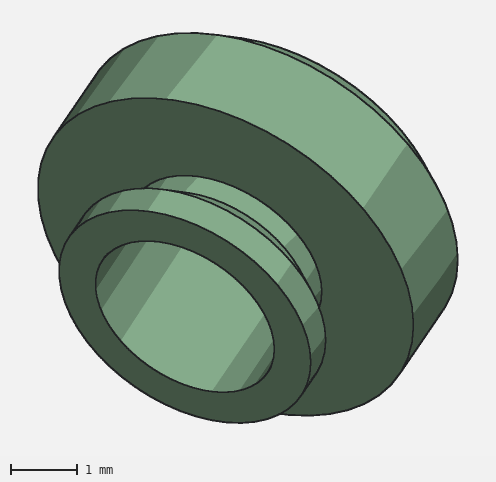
import cadquery as cq

flange_diameter = 6.3
collar_diameter = 4.22
bore_diameter = 3.0
total_length = 3.37
flange_thickness = 2.0
rim_width = 0.505
bevel = 0.5

flange_radius = flange_diameter / 2
collar_radius = collar_diameter / 2
bore_radius = bore_diameter / 2
neck_radius = collar_radius - bevel

collar_end = flange_thickness - total_length
rim_back = collar_end + rim_width
neck_start = rim_back + bevel

half_section = (
    cq.Workplane("XY")
    .moveTo(bore_radius, collar_end)
    .lineTo(collar_radius, collar_end)
    .lineTo(collar_radius, rim_back)
    .lineTo(neck_radius, neck_start)
    .lineTo(neck_radius, 0)
    .lineTo(flange_radius, 0)
    .lineTo(flange_radius, flange_thickness - bevel)
    .lineTo(flange_radius - bevel, flange_thickness)
    .lineTo(bore_radius, flange_thickness)
    .close()
)

result = half_section.revolve(360, (0, 0, 0), (0, 1, 0))